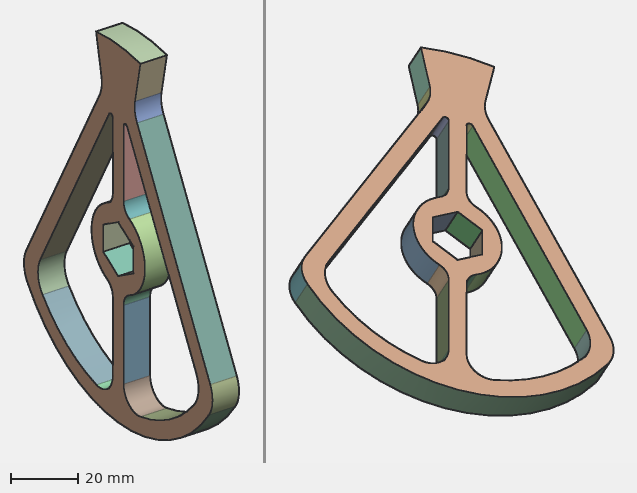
import cadquery as cq
import math

thickness = 9.5
overall_height = 128.9
rim_radius = 59.2
head_radius = overall_height - rim_radius
rim_width = 6.2
spoke_width = 6.5
rib_width = 5.8
hub_radius = 14.3
hex_across_flats = 16.0

head_half_width = 11.9
neck_half_width = 8.2
neck_height = 51.0
spoke_angle = math.radians(28.8)

neck_fillet = 10.0
rim_corner_fillet = 10.0
window_top_fillet = 1.0
window_side_fillet = 10.0
window_rib_fillet = 7.2
hub_fillet = 5.2


def spoke_x(z, inset=0.0):
    """X of the right spoke's edge at height z, moved inward by inset."""
    edge = neck_half_width + (neck_height - z) * math.tan(spoke_angle)
    return edge - inset / math.cos(spoke_angle)


def spoke_arc_corner(radius, inset=0.0):
    """Lower point where the right spoke's edge meets a circle about the origin."""
    distance = spoke_x(0, inset) * math.cos(spoke_angle)
    along = math.sqrt(radius**2 - distance**2)
    x = distance * math.cos(spoke_angle) + along * math.sin(spoke_angle)
    z = distance * math.sin(spoke_angle) - along * math.cos(spoke_angle)
    return x, z


def fillet_corner(body, x, z, radius):
    """Round the through-thickness edge nearest to (x, z)."""
    nearest = cq.selectors.NearestToPointSelector((x, 0, z))
    return body.edges("|Y").edges(nearest).fillet(radius)


def make_plate():
    """Solid outline: flared head, straight sides and circular rim."""
    head_corner_z = math.sqrt(head_radius**2 - head_half_width**2)
    rim_x, rim_z = spoke_arc_corner(rim_radius)
    plate = (
        cq.Workplane("XZ")
        .moveTo(-head_half_width, head_corner_z)
        .threePointArc((0, head_radius), (head_half_width, head_corner_z))
        .lineTo(neck_half_width, neck_height)
        .lineTo(rim_x, rim_z)
        .threePointArc((0, -rim_radius), (-rim_x, rim_z))
        .lineTo(-neck_half_width, neck_height)
        .close()
        .extrude(thickness / 2, both=True)
    )
    for side in (-1, 1):
        plate = fillet_corner(plate, side * neck_half_width, neck_height, neck_fillet)
        plate = fillet_corner(plate, side * rim_x, rim_z, rim_corner_fillet)
    return plate


def make_window():
    """Right-hand opening between the rib, hub, spoke and rim."""
    inner_radius = rim_radius - rim_width
    rib_x = rib_width / 2
    top_z = (spoke_x(0, spoke_width) - rib_x) / math.tan(spoke_angle)
    side_x, side_z = spoke_arc_corner(inner_radius, spoke_width)
    rib_z = -math.sqrt(inner_radius**2 - rib_x**2)
    hub_z = math.sqrt(hub_radius**2 - rib_x**2)
    middle_angle = (math.atan2(side_z, side_x) + math.atan2(rib_z, rib_x)) / 2
    rim_middle = (inner_radius * math.cos(middle_angle), inner_radius * math.sin(middle_angle))
    window = (
        cq.Workplane("XZ")
        .moveTo(rib_x, top_z)
        .lineTo(side_x, side_z)
        .threePointArc(rim_middle, (rib_x, rib_z))
        .lineTo(rib_x, -hub_z)
        .threePointArc((hub_radius, 0), (rib_x, hub_z))
        .close()
        .extrude(thickness / 2, both=True)
    )
    corners = (
        (rib_x, top_z, window_top_fillet),
        (side_x, side_z, window_side_fillet),
        (rib_x, rib_z, window_rib_fillet),
        (rib_x, -hub_z, hub_fillet),
        (rib_x, hub_z, hub_fillet),
    )
    for x, z, radius in corners:
        window = fillet_corner(window, x, z, radius)
    return window


def make_hex_bore():
    """Hexagonal bore with points up and down."""
    across_corners = hex_across_flats / math.cos(math.pi / 6)
    bore = cq.Workplane("XZ").polygon(6, across_corners).extrude(thickness / 2, both=True)
    return bore.rotate((0, 0, 0), (0, 1, 0), 30)


window = make_window()
result = make_plate().cut(window).cut(window.mirror("YZ")).cut(make_hex_bore())